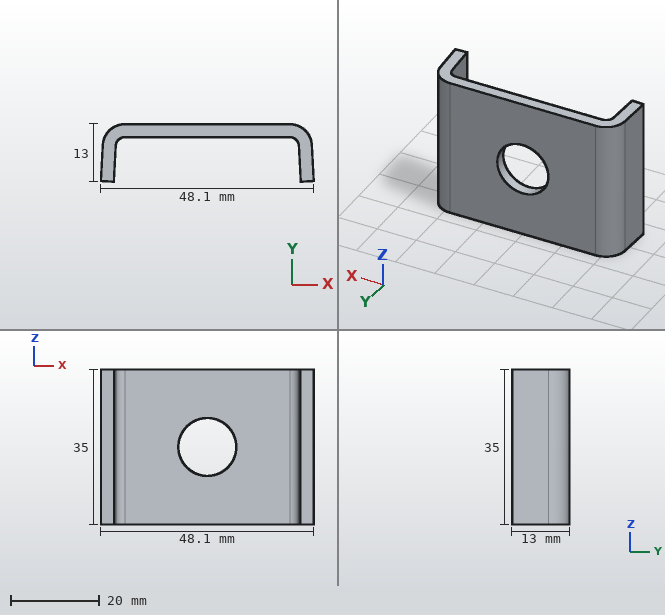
import cadquery as cq
import math

width = 48.05
depth = 13.0
height = 35.0
thickness = 3.0
inner_radius = 2.0
leg_splay = math.radians(3.0)
hole_diameter = 13.0

outer_radius = inner_radius + thickness
sin_splay = math.sin(leg_splay)
cos_splay = math.cos(leg_splay)
bend_y = -outer_radius
leg_length = (depth + bend_y + inner_radius * sin_splay) / cos_splay
bend_x = width / 2 - outer_radius * cos_splay - leg_length * sin_splay


def bend_point(side, radius, angle):
    """Point on the bend of one side (-1 or 1), angle measured up from horizontal."""
    return (side * (bend_x + radius * math.cos(angle)), bend_y + radius * math.sin(angle))


def leg_tip(side, radius):
    """End of the straight leg face that continues the bend of this radius."""
    x, y = bend_point(side, radius, leg_splay)
    return (x + side * leg_length * sin_splay, y - leg_length * cos_splay)


def make_channel():
    """Bent strip, with its web's outer face on Y = 0 and its legs toward -Y."""
    web_angle = math.pi / 2
    middle_angle = (leg_splay + web_angle) / 2
    left, right = -1, 1
    profile = (
        cq.Workplane("XY")
        .moveTo(*bend_point(left, outer_radius, web_angle))
        .lineTo(*bend_point(right, outer_radius, web_angle))
        .threePointArc(
            bend_point(right, outer_radius, middle_angle),
            bend_point(right, outer_radius, leg_splay),
        )
        .lineTo(*leg_tip(right, outer_radius))
        .lineTo(*leg_tip(right, inner_radius))
        .lineTo(*bend_point(right, inner_radius, leg_splay))
        .threePointArc(
            bend_point(right, inner_radius, middle_angle),
            bend_point(right, inner_radius, web_angle),
        )
        .lineTo(*bend_point(left, inner_radius, web_angle))
        .threePointArc(
            bend_point(left, inner_radius, middle_angle),
            bend_point(left, inner_radius, leg_splay),
        )
        .lineTo(*leg_tip(left, inner_radius))
        .lineTo(*leg_tip(left, outer_radius))
        .lineTo(*bend_point(left, outer_radius, leg_splay))
        .threePointArc(
            bend_point(left, outer_radius, middle_angle),
            bend_point(left, outer_radius, web_angle),
        )
        .close()
    )
    return profile.extrude(height / 2, both=True)


def make_hole():
    """Cylinder through the centre of the web."""
    return cq.Workplane("XZ").circle(hole_diameter / 2).extrude(thickness)


result = make_channel().cut(make_hole())